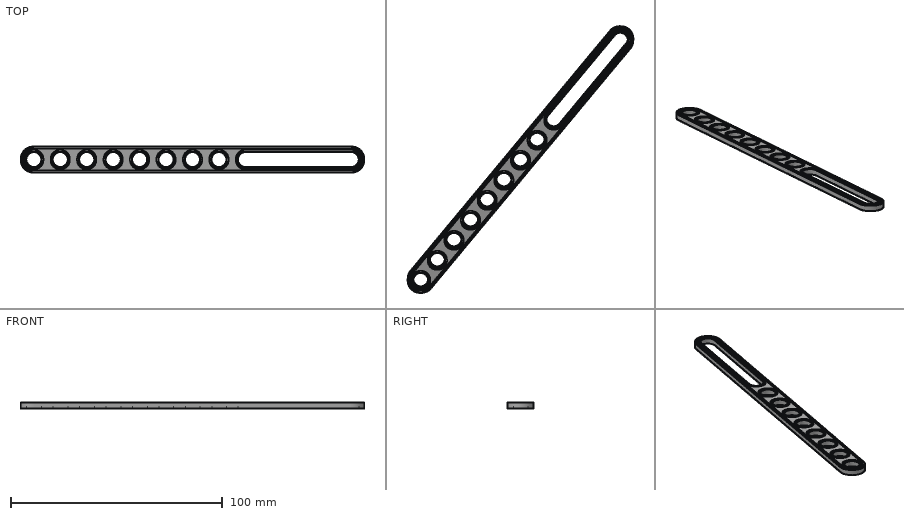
import cadquery as cq

PITCH = 12.5
WIDTH = PITCH
THICKNESS = PITCH / 4
HOLE_COUNT = 8
SLOT_PITCHES = 4
HOLE_DIAMETER = 7.0
RIM_DIAMETER = 9.2
EDGE_RIM_WIDTH = (RIM_DIAMETER - HOLE_DIAMETER) / 2
RECESS_DEPTH = 0.2
EDGE_CHAMFER = 0.3

LENGTH = (HOLE_COUNT + SLOT_PITCHES + 1) * PITCH
FIRST_HOLE_X = (PITCH - LENGTH) / 2
SLOT_START_X = FIRST_HOLE_X + HOLE_COUNT * PITCH
SLOT_SPAN = SLOT_PITCHES * PITCH
SLOT_CENTER_X = SLOT_START_X + SLOT_SPAN / 2
hole_centers = [(FIRST_HOLE_X + i * PITCH, 0) for i in range(HOLE_COUNT)]


def bar(length, width, height, bottom):
    """Round-ended bar centred on the origin in plan."""
    return cq.Workplane("XY").workplane(offset=bottom).slot2D(length, width).extrude(height)


def openings(diameter, height, bottom):
    """Solids filling every round hole and the long slot, at a given diameter."""
    base = cq.Workplane("XY").workplane(offset=bottom)
    holes = base.pushPoints(hole_centers).circle(diameter / 2).extrude(height)
    slot = base.center(SLOT_CENTER_X, 0).slot2D(SLOT_SPAN + diameter, diameter).extrude(height)
    return holes.union(slot)


def recess(bottom):
    """Shallow panel between the outer rim and the rims around the openings."""
    panel = bar(LENGTH - 2 * EDGE_RIM_WIDTH, WIDTH - 2 * EDGE_RIM_WIDTH, RECESS_DEPTH, bottom)
    return panel.cut(openings(RIM_DIAMETER, RECESS_DEPTH, bottom))


def chamfered_plate():
    """Pierced bar with every edge of its two flat faces chamfered."""
    plate = bar(LENGTH, WIDTH, THICKNESS, 0).cut(openings(HOLE_DIAMETER, THICKNESS, 0))
    return plate.faces("|Z").edges().chamfer(EDGE_CHAMFER)


result = chamfered_plate().cut(recess(0)).cut(recess(THICKNESS - RECESS_DEPTH))